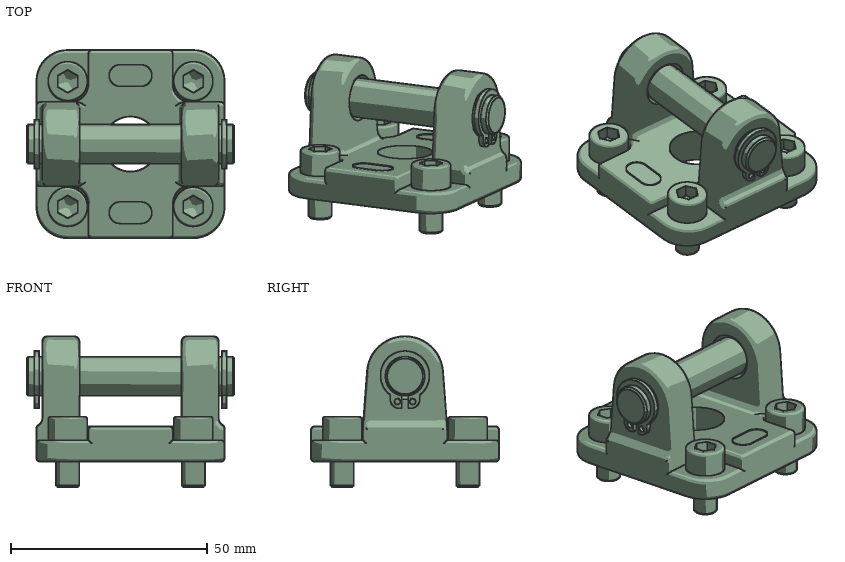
import cadquery as cq
import math

base_side = 48.0
plate_height = 5.5
pad_height = 9.0
edge_fillet = 1.0
center_hole_diameter = 14.0
pad_skirt_bottom = edge_fillet
pocket_wall = 10.75
pocket_radius = 4.5
label_length = 10.9
label_width = 5.5
label_depth = 0.2
label_offset = 17.5

screw_offset = 16.0
head_diameter = 10.0
head_height = 6.0
head_fillet = 0.7
shank_diameter = 6.0
shank_tip_z = -6.45
shank_chamfer = 0.5
socket_sides = 6
socket_width = 5.05
socket_depth = 3.0
socket_point_angle = 120.0

lug_center_z = 22.25
lug_radius = 9.75
lug_inner_x = 13.0
lug_outer_x = 22.5
lug_edge_fillet = 1.5
foot_radius = 2.0
bore_chamfer = 0.85

pin_z = 21.8
pin_length = 53.0
pin_diameter = 10.0
pin_chamfer = 0.5
ring_inner_x = 23.3
ring_thickness = 1.2
ring_radius = 6.25
ring_rise = 0.2
ears_width = 7.5
ear_radius = 2.3
ear_drop = 6.1
ear_hole_diameter = 1.5
ear_hole_offset = 1.95
ear_hole_drop = 6.7
ring_gap = 1.65

half_side = base_side / 2
corner_radius = half_side - screw_offset
lug_top = lug_center_z + lug_radius
screw_points = [(sx * screw_offset, sy * screw_offset) for sx in (-1, 1) for sy in (-1, 1)]


def make_plate():
    plate = cq.Workplane("XY").rect(base_side, base_side).extrude(plate_height)
    plate = plate.edges("|Z").fillet(corner_radius)
    return plate.faces("<Z or >Z").edges().fillet(edge_fillet)


def make_pad():
    """Cross-shaped pad: the square with a round-cornered pocket taken out around each screw."""
    pad = (
        cq.Workplane("XY", origin=(0, 0, pad_skirt_bottom))
        .rect(base_side, base_side)
        .extrude(pad_height - pad_skirt_bottom)
    )
    pocket_side = 2 * (half_side - pocket_wall)
    pockets = (
        cq.Workplane("XY")
        .rect(base_side, base_side, forConstruction=True)
        .vertices()
        .rect(pocket_side, pocket_side)
        .extrude(pad_height)
        .edges("|Z")
        .fillet(pocket_radius)
    )
    pad = pad.cut(pockets)
    pad = pad.faces("<X or >X or <Y or >Y").edges("|Z").fillet(edge_fillet)
    return pad.faces(">Z").edges().fillet(edge_fillet)


def make_lugs():
    """One lug with feet that sweep out into the pad, then mirrored to the other side."""
    hollow_x = lug_outer_x + foot_radius
    hollow_z = pad_height + foot_radius
    round_x = half_side - edge_fillet
    center_distance = foot_radius + edge_fillet
    lean = math.asin((hollow_x - round_x) / center_distance)
    round_z = hollow_z - center_distance * math.cos(lean)
    arc_middle = (lean + math.pi / 2) / 2

    def hollow_point(angle):
        return (hollow_x - foot_radius * math.sin(angle), hollow_z - foot_radius * math.cos(angle))

    def round_point(angle):
        return (round_x + edge_fillet * math.sin(angle), round_z + edge_fillet * math.cos(angle))

    diagonal = foot_radius * (1 - math.sqrt(0.5))
    half_section = (
        cq.Workplane("XZ")
        .moveTo(0, pad_skirt_bottom)
        .lineTo(half_side, pad_skirt_bottom)
        .lineTo(half_side, round_z)
        .threePointArc(round_point(arc_middle), round_point(lean))
        .threePointArc(hollow_point(arc_middle), (lug_outer_x, hollow_z))
        .lineTo(lug_outer_x, lug_top)
        .lineTo(lug_inner_x, lug_top)
        .lineTo(lug_inner_x, hollow_z)
        .threePointArc(
            (lug_inner_x - diagonal, pad_height + diagonal),
            (lug_inner_x - foot_radius, pad_height),
        )
        .lineTo(0, pad_height)
        .close()
        .extrude(half_side, both=True)
    )

    drop = lug_center_z - pad_height
    reach = math.hypot(pocket_wall, drop)
    tilt = math.acos(lug_radius / reach) - math.atan2(drop, pocket_wall)
    tangent_y = lug_radius * math.cos(tilt)
    tangent_z = lug_center_z + lug_radius * math.sin(tilt)
    outline = (
        cq.Workplane("YZ")
        .moveTo(-pocket_wall, 0)
        .lineTo(-pocket_wall, pad_height)
        .lineTo(-tangent_y, tangent_z)
        .threePointArc((0, lug_top), (tangent_y, tangent_z))
        .lineTo(pocket_wall, pad_height)
        .lineTo(pocket_wall, 0)
        .close()
        .extrude(half_side)
    )
    lug = half_section.intersect(outline)
    for face_x in (lug_inner_x, lug_outer_x):
        side_face = lug.faces(cq.selectors.NearestToPointSelector((face_x, 0, lug_center_z)))
        lug = side_face.edges("not |Y").fillet(lug_edge_fillet)

    bore_radius = pin_diameter / 2
    for face_x, inward in ((lug_inner_x, 1), (lug_outer_x, -1)):
        cone = cq.Solid.makeCone(
            bore_radius + bore_chamfer,
            bore_radius,
            bore_chamfer,
            cq.Vector(face_x, 0, pin_z),
            cq.Vector(inward, 0, 0),
        )
        lug = lug.cut(cq.Workplane(cone))
    return lug.union(lug.mirror("YZ"))


def make_screw():
    head_top = plate_height + head_height
    head = (
        cq.Workplane("XY", origin=(0, 0, plate_height))
        .circle(head_diameter / 2)
        .extrude(head_height)
        .faces(">Z")
        .edges()
        .fillet(head_fillet)
    )
    shank = (
        cq.Workplane("XY", origin=(0, 0, shank_tip_z))
        .circle(shank_diameter / 2)
        .extrude(plate_height - shank_tip_z)
        .faces("<Z")
        .chamfer(shank_chamfer)
    )
    corner_reach = socket_width / math.sqrt(3)
    point_depth = socket_depth + corner_reach / math.tan(math.radians(socket_point_angle / 2))
    hexagon = (
        cq.Workplane("XY", origin=(0, 0, head_top))
        .polygon(socket_sides, 2 * corner_reach)
        .extrude(-point_depth)
        .rotate((0, 0, 0), (0, 0, 1), 180 / socket_sides)
    )
    drill = (
        cq.Workplane("XZ", origin=(0, 0, head_top))
        .polyline([(0, 0), (corner_reach, 0), (corner_reach, -socket_depth), (0, -point_depth)])
        .close()
        .revolve(360, (0, 0, 0), (0, 1, 0))
    )
    return head.union(shank).cut(hexagon.intersect(drill))


def make_pin():
    pin = (
        cq.Workplane("YZ", origin=(-pin_length / 2, 0, pin_z))
        .circle(pin_diameter / 2)
        .extrude(pin_length)
    )
    return pin.faces("<X or >X").chamfer(pin_chamfer)


def make_ring():
    """Retaining ring with two drilled ears below the pin."""
    plane = cq.Workplane("YZ", origin=(ring_inner_x, 0, pin_z + ring_rise))
    ring = plane.circle(ring_radius).extrude(ring_thickness)
    ear_offset = ears_width / 2 - ear_radius
    ear_points = [(-ear_offset, -ear_drop), (ear_offset, -ear_drop)]
    hole_points = [(-ear_hole_offset, -ear_hole_drop), (ear_hole_offset, -ear_hole_drop)]
    for y, z in ear_points:
        ring = ring.union(plane.center(y, z).circle(ear_radius).extrude(ring_thickness))
    neck = plane.center(0, -ear_drop / 2).rect(ears_width, ear_drop).extrude(ring_thickness)
    gap_depth = ear_drop + ear_radius
    gap = plane.center(0, -gap_depth / 2).rect(ring_gap, gap_depth).extrude(ring_thickness)
    holes = plane.pushPoints(hole_points).circle(ear_hole_diameter / 2).extrude(ring_thickness)
    return ring.union(neck).cut(gap).cut(holes)


body = make_plate().union(make_pad()).union(make_lugs())
body = body.cut(cq.Workplane("XY").circle(center_hole_diameter / 2).extrude(pad_height))
labels = (
    cq.Workplane("XY", origin=(0, 0, pad_height))
    .pushPoints([(0, -label_offset), (0, label_offset)])
    .slot2D(label_length, label_width)
    .extrude(-label_depth)
)
body = body.cut(labels)

screw = make_screw()
for x, y in screw_points:
    body = body.union(screw.translate((x, y, 0)))

ring = make_ring()
result = body.union(ring).union(ring.mirror("YZ")).union(make_pin())